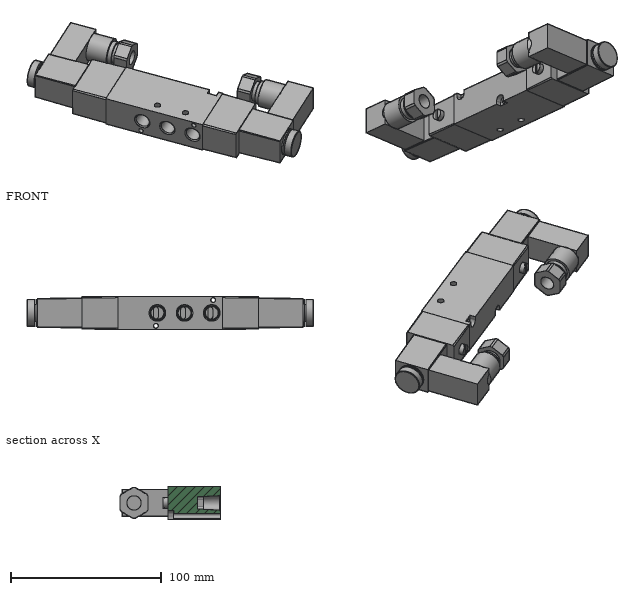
import cadquery as cq
import math


BODY_HALF_LENGTH = 34.7
BODY_DEPTH = 35.0
BODY_HALF_HEIGHT = 11.0

PATTERN_CENTER_X = 9.5
PORT_PITCH = 18.0
PORT_DIAMETER = 9.5
PORT_MOUTH_DIAMETER = 11.0
PORT_FLOOR_DIAMETER = 8.5
PORT_DEPTH = 11.4
PASSAGE_LENGTH = 8.0
PASSAGE_WIDTH = 3.2
PASSAGE_DEPTH = 3.8
PASSAGE_OFFSET_X = -1.0
CROSS_HOLE_DIAMETER = 4.2
CROSS_HOLE_OFFSET_X = 10.0
CROSS_HOLE_Y = 7.0
SCREW_HOLE_DIAMETER = 3.0
SCREW_HOLE_OFFSET_X = 19.0
SCREW_HOLE_Z = 8.5
SCREW_SEAT_DIAMETER = 6.5
SCREW_SEAT_DEPTH = 3.8

CAP_END_X = 58.7
CAP_DRAFT = 0.28
CAP_FRONT_CHAMFER = 1.0
CAP_FRONT_CHAMFER_AT_END = 0.8
CAP_BACK_CHAMFER = 0.5
CAP_BACK_CHAMFER_AT_END = 1.0

OVERRIDE_X = 47.6
OVERRIDE_DIAMETER = 7.2
OVERRIDE_HEIGHT = 3.2
OVERRIDE_SLOT_WIDTH = 1.3
OVERRIDE_SLOT_DEPTH = 1.0

COIL_END_X = 87.9
COIL_FRONT_Y = 5.1
COIL_BACK_Y = 29.6
COIL_HALF_HEIGHT = 10.0
COIL_DRAFT = 0.47
COIL_CHAMFER = 0.5
COIL_CHAMFER_AT_END = 0.4

NUT_AXIS_Y = 17.5
NUT_DIAMETER = 17.8
NUT_START_X = 90.0
NUT_END_X = 95.0
NUT_CHAMFER = 0.4
STUD_DIAMETER = 11.4
WASHER_END_X = 88.8

ARM_OUTER_X = 87.1
ARM_INNER_X = 68.9
ARM_END_Y = 65.3
ARM_HALF_HEIGHT = 9.0

GLAND_AXIS_Y = 57.3
GLAND_DIAMETER = 18.6
GLAND_END_X = 54.5
GLAND_ROOT_LENGTH = 2.7
GLAND_ROOT_DIAMETER = 16.0
COLLAR_DIAMETER = 15.5
COLLAR_END_X = 51.6
NECK_DIAMETER = 13.5
HEX_START_X = 49.0
HEX_END_X = 39.7
HEX_CORNER_DIAMETER = GLAND_DIAMETER / math.cos(math.pi / 6)
HEX_CORNER_CUT = 1.0
CABLE_HOLE_DIAMETER = 9.5


def box(x0, x1, y0, y1, half_height):
    """Box between two X and two Y positions, centred on Z = 0."""
    return cq.Workplane("XY", origin=((x0 + x1) / 2, (y0 + y1) / 2, 0)).box(x1 - x0, y1 - y0, 2 * half_height)


def rod(x0, x1, diameter, axis_y):
    """Cylinder along X."""
    return cq.Workplane("YZ", origin=(x0, axis_y, 0)).circle(diameter / 2).extrude(x1 - x0)


def chamfered_section(front_y, back_y, half_height, front_chamfer, back_chamfer):
    """Corner points (Y, Z) of a rectangle with its four corners cut at 45 degrees."""
    upper = [
        (front_y, half_height - front_chamfer),
        (front_y + front_chamfer, half_height),
        (back_y - back_chamfer, half_height),
        (back_y, half_height - back_chamfer),
    ]
    lower = [(y, -z) for y, z in reversed(upper)]
    return upper + lower


def tapered_block(x0, section0, x1, section1):
    """Straight-sided block between two sections across X."""
    return (
        cq.Workplane("YZ", origin=(x0, 0, 0))
        .polyline(section0).close()
        .workplane(offset=x1 - x0)
        .polyline(section1).close()
        .loft(ruled=True)
    )


def port(x):
    """Cutter for one port: countersunk tapered bore with a narrow passage in its floor."""
    mouth_depth = (PORT_MOUTH_DIAMETER - PORT_DIAMETER) / 2
    profile = [
        (0, 0),
        (PORT_MOUTH_DIAMETER / 2, 0),
        (PORT_DIAMETER / 2, mouth_depth),
        (PORT_FLOOR_DIAMETER / 2, PORT_DEPTH),
        (0, PORT_DEPTH),
    ]
    bore = cq.Workplane("XY", origin=(x, 0, 0)).polyline(profile).close().revolve(360, (0, 0), (0, 1))
    passage = (
        cq.Workplane("XZ", origin=(x + PASSAGE_OFFSET_X, PORT_DEPTH, 0))
        .slot2D(PASSAGE_LENGTH, PASSAGE_WIDTH, 90)
        .extrude(-PASSAGE_DEPTH)
    )
    return bore.union(passage)


def screw_hole(side):
    """Cutter for a mounting screw along Y, its head seat open to the top (side 1) or bottom (side -1)."""
    x = PATTERN_CENTER_X + side * SCREW_HOLE_OFFSET_X
    z = side * SCREW_HOLE_Z
    hole = cq.Workplane("XZ", origin=(x, 0, z)).circle(SCREW_HOLE_DIAMETER / 2).extrude(-BODY_DEPTH)
    seat_plane = cq.Workplane("XZ", origin=(x, BODY_DEPTH - SCREW_SEAT_DEPTH, z))
    seat = seat_plane.circle(SCREW_SEAT_DIAMETER / 2).extrude(-SCREW_SEAT_DEPTH)
    opening = (
        seat_plane.center(0, side * SCREW_SEAT_DIAMETER / 2)
        .rect(SCREW_SEAT_DIAMETER, SCREW_SEAT_DIAMETER)
        .extrude(-SCREW_SEAT_DEPTH)
    )
    return hole.union(seat).union(opening)


def make_body():
    body = box(-BODY_HALF_LENGTH, BODY_HALF_LENGTH, 0, BODY_DEPTH, BODY_HALF_HEIGHT)
    for step in (-1, 0, 1):
        body = body.cut(port(PATTERN_CENTER_X + step * PORT_PITCH))
    for side in (-1, 1):
        cross_hole = (
            cq.Workplane("XY", origin=(PATTERN_CENTER_X + side * CROSS_HOLE_OFFSET_X, CROSS_HOLE_Y, 0))
            .circle(CROSS_HOLE_DIAMETER / 2)
            .extrude(BODY_HALF_HEIGHT, both=True)
        )
        body = body.cut(cross_hole).cut(screw_hole(side))
    return body


def make_end_cap():
    """End cap on the +X side with its slotted override screw."""
    body_section = chamfered_section(0, BODY_DEPTH, BODY_HALF_HEIGHT, CAP_FRONT_CHAMFER, CAP_BACK_CHAMFER)
    end_section = chamfered_section(
        CAP_DRAFT,
        BODY_DEPTH,
        BODY_HALF_HEIGHT - CAP_DRAFT,
        CAP_FRONT_CHAMFER_AT_END,
        CAP_BACK_CHAMFER_AT_END,
    )
    block = tapered_block(BODY_HALF_LENGTH, body_section, CAP_END_X, end_section)
    override = (
        cq.Workplane("XZ", origin=(OVERRIDE_X, BODY_DEPTH, 0))
        .circle(OVERRIDE_DIAMETER / 2)
        .extrude(-OVERRIDE_HEIGHT)
    )
    slot = box(
        OVERRIDE_X - OVERRIDE_SLOT_WIDTH / 2,
        OVERRIDE_X + OVERRIDE_SLOT_WIDTH / 2,
        BODY_DEPTH + OVERRIDE_HEIGHT - OVERRIDE_SLOT_DEPTH,
        BODY_DEPTH + OVERRIDE_HEIGHT,
        OVERRIDE_DIAMETER / 2,
    )
    return block.union(override.cut(slot))


def make_gland():
    """Cable gland with its tapered root (no taller than the arm), stepped neck and hexagonal nut."""
    root = (
        cq.Workplane("YZ", origin=(ARM_INNER_X + GLAND_ROOT_LENGTH, GLAND_AXIS_Y, 0))
        .circle(GLAND_ROOT_DIAMETER / 2)
        .workplane(offset=-GLAND_ROOT_LENGTH)
        .circle(GLAND_DIAMETER / 2)
        .loft(ruled=True)
    )
    root_envelope = box(
        ARM_INNER_X,
        ARM_INNER_X + GLAND_ROOT_LENGTH,
        GLAND_AXIS_Y - GLAND_DIAMETER / 2,
        GLAND_AXIS_Y + GLAND_DIAMETER / 2,
        ARM_HALF_HEIGHT,
    )
    root = root.intersect(root_envelope)
    barrel = rod(GLAND_END_X, ARM_INNER_X, GLAND_DIAMETER, GLAND_AXIS_Y)
    collar = rod(COLLAR_END_X, GLAND_END_X, COLLAR_DIAMETER, GLAND_AXIS_Y)
    neck = rod(HEX_START_X, COLLAR_END_X, NECK_DIAMETER, GLAND_AXIS_Y)
    hex_nut = (
        cq.Workplane("YZ", origin=(HEX_END_X, GLAND_AXIS_Y, 0))
        .transformed(rotate=(0, 0, 90))
        .polygon(6, HEX_CORNER_DIAMETER)
        .extrude(HEX_START_X - HEX_END_X)
        .edges("|X")
        .chamfer(HEX_CORNER_CUT)
    )
    cable_hole = rod(HEX_END_X, GLAND_END_X, CABLE_HOLE_DIAMETER, GLAND_AXIS_Y)
    return root.union(barrel).union(collar).union(neck).union(hex_nut).cut(cable_hole)


def make_solenoid():
    """Solenoid on the +X side: coil, retaining nut, connector arm and cable gland."""
    cap_section = chamfered_section(COIL_FRONT_Y, COIL_BACK_Y, COIL_HALF_HEIGHT, COIL_CHAMFER, COIL_CHAMFER)
    end_section = chamfered_section(
        COIL_FRONT_Y + COIL_DRAFT,
        COIL_BACK_Y,
        COIL_HALF_HEIGHT - COIL_DRAFT,
        COIL_CHAMFER_AT_END,
        COIL_CHAMFER_AT_END,
    )
    coil = tapered_block(CAP_END_X, cap_section, COIL_END_X, end_section)
    washer = rod(COIL_END_X, WASHER_END_X, NUT_DIAMETER, NUT_AXIS_Y)
    stud = rod(WASHER_END_X, NUT_START_X, STUD_DIAMETER, NUT_AXIS_Y)
    nut = rod(NUT_START_X, NUT_END_X, NUT_DIAMETER, NUT_AXIS_Y).faces(">X").chamfer(NUT_CHAMFER)
    arm = box(ARM_INNER_X, ARM_OUTER_X, COIL_BACK_Y, ARM_END_Y, ARM_HALF_HEIGHT)
    return coil.union(washer).union(stud).union(nut).union(arm).union(make_gland())


body = make_body()
right_parts = [make_end_cap(), make_solenoid()]
left_parts = [part.mirror("YZ") for part in right_parts]

result = cq.Compound.makeCompound([body.val()] + [part.val() for part in right_parts + left_parts])